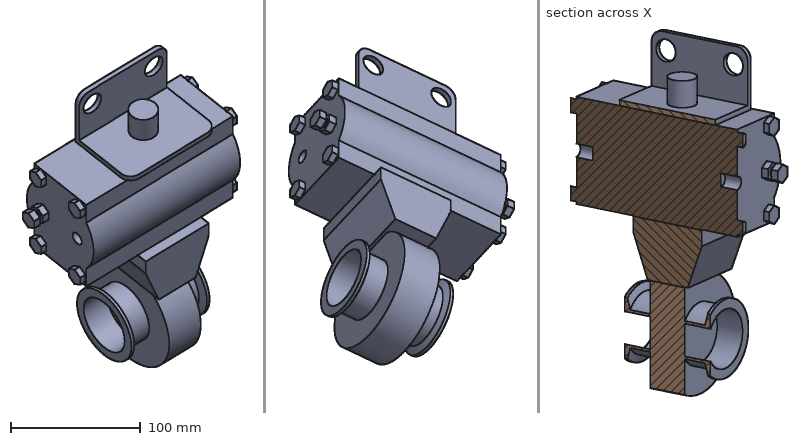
import cadquery as cq


overall_height = 277.8

valve_diameter = 97.8
valve_thickness = 32.5
pipe_diameter = 50.8
bore_diameter = 47.8
flange_diameter = 64.0
flange_rim = 2.8
flange_taper = 2.5
valve_half_length = 40.0

block_width = 79.7
block_bottom = 42.5
block_knee = 78.5
block_top = 91.7
block_top_length = 64.5
block_bottom_length = 37.8

actuator_width = 61.0
actuator_height = 87.0
actuator_length = 150.0
barrel_diameter = 78.3
actuator_offset = -10.0
actuator_bottom = block_top
actuator_top = actuator_bottom + actuator_height
actuator_middle = actuator_bottom + actuator_height / 2

hex_corners = 15.3
cover_bolt_x = 22.8
cover_bolt_z = 35.5
cover_bolt_height = 5.3
stop_hex_height = 6.0
stop_neck_diameter = 8.0
stop_bolt_height = 15.0
stop_offset = 20.0
port_diameter = 10.5
port_depth = 15.0

shaft_diameter = 23.0
shaft_top = 204.8

bracket_left = -28.0
bracket_right = 35.0
bracket_length = 89.7
bracket_thickness = 4.5
bracket_top = overall_height - valve_diameter / 2
bracket_corner_radius = 10.0
bracket_hole_diameter = 18.0
bracket_hole_y = 31.5
bracket_hole_drop = 15.0


def end_plane(start_y, x, z):
    """Workplane at the given Y, facing +Y, centred on (x, z)."""
    return cq.Workplane(cq.Plane((x, start_y, z), xDir=(1, 0, 0), normal=(0, 1, 0)))


def build_valve():
    pipe_radius = pipe_diameter / 2
    flange_radius = flange_diameter / 2
    flange_back = valve_half_length - flange_rim
    taper_end = flange_back - flange_taper
    half_thickness = valve_thickness / 2
    profile = [
        (0, 0),
        (valve_diameter / 2, 0),
        (valve_diameter / 2, half_thickness),
        (pipe_radius, half_thickness),
        (pipe_radius, taper_end),
        (flange_radius, flange_back),
        (flange_radius, valve_half_length),
        (bore_diameter / 2, valve_half_length),
        (bore_diameter / 2, half_thickness),
        (0, half_thickness),
    ]
    half = cq.Workplane("XY").polyline(profile).close().revolve(360, (0, 0), (0, 1))
    valve = half.union(half.mirror("XZ"))
    above_seat = cq.Workplane("XY", origin=(0, 0, block_bottom)).rect(
        valve_diameter, valve_thickness).extrude(valve_diameter)
    return valve.cut(above_seat)


def build_block():
    half_top = block_top_length / 2
    half_bottom = block_bottom_length / 2
    outline = [
        (-half_bottom, block_bottom),
        (half_bottom, block_bottom),
        (half_top, block_knee),
        (half_top, block_top),
        (-half_top, block_top),
        (-half_top, block_knee),
    ]
    return cq.Workplane("YZ").polyline(outline).close().extrude(block_width / 2, both=True)


def hex_prism(x, z, start_y, height):
    """Hexagon along +Y with two corners pointing up and down."""
    upright = end_plane(start_y, x, z).transformed(rotate=(0, 0, 90))
    return upright.polygon(6, hex_corners).extrude(height)


def build_end_fasteners(end_y):
    """Cover bolts and stop bolt on the +Y end of the actuator."""
    neck = end_plane(end_y, -stop_offset, actuator_middle).circle(stop_neck_diameter / 2)
    fasteners = neck.extrude(stop_bolt_height)
    for start in (0, stop_bolt_height - stop_hex_height):
        fasteners = fasteners.union(
            hex_prism(-stop_offset, actuator_middle, end_y + start, stop_hex_height))
    for x in (-cover_bolt_x, cover_bolt_x):
        for z in (actuator_middle - cover_bolt_z, actuator_middle + cover_bolt_z):
            fasteners = fasteners.union(hex_prism(x, z, end_y, cover_bolt_height))
    return fasteners


def build_actuator():
    end_y = actuator_length / 2
    start = end_plane(-end_y, 0, actuator_middle)
    housing = start.rect(actuator_width, actuator_height).extrude(actuator_length)
    housing = housing.union(start.circle(barrel_diameter / 2).extrude(actuator_length))
    port = end_plane(end_y - port_depth, stop_offset, actuator_middle).circle(
        port_diameter / 2).extrude(port_depth)
    fasteners = build_end_fasteners(end_y)
    housing = housing.cut(port).cut(port.mirror("XZ"))
    housing = housing.union(fasteners).union(fasteners.mirror("XZ"))
    housing = housing.translate((0, actuator_offset, 0))
    shaft = cq.Workplane("XY", origin=(0, 0, actuator_top)).circle(
        shaft_diameter / 2).extrude(shaft_top - actuator_top)
    return housing.union(shaft)


def build_bracket():
    foot_width = bracket_right - bracket_left
    upright_height = bracket_top - actuator_top
    foot = (
        cq.Workplane("XY")
        .box(foot_width, bracket_length, bracket_thickness, centered=(False, True, False))
        .edges("|Z and >X").fillet(bracket_corner_radius)
    )
    upright = (
        cq.Workplane("XY")
        .box(bracket_thickness, bracket_length, upright_height, centered=(False, True, False))
        .edges("|X and >Z").fillet(bracket_corner_radius)
    )
    bracket = foot.union(upright).translate((bracket_left, 0, actuator_top))
    screw_holes = (
        cq.Workplane("YZ", origin=(bracket_left, 0, bracket_top - bracket_hole_drop))
        .pushPoints([(-bracket_hole_y, 0), (bracket_hole_y, 0)])
        .circle(bracket_hole_diameter / 2)
        .extrude(bracket_thickness)
    )
    shaft_hole = (
        cq.Workplane("XY", origin=(0, 0, actuator_top))
        .circle(shaft_diameter / 2)
        .extrude(bracket_thickness)
    )
    return bracket.cut(screw_holes).cut(shaft_hole)


valve = build_valve()
block = build_block()
actuator = build_actuator()
bracket = build_bracket()
result = cq.Compound.makeCompound([valve.val(), block.val(), actuator.val(), bracket.val()])